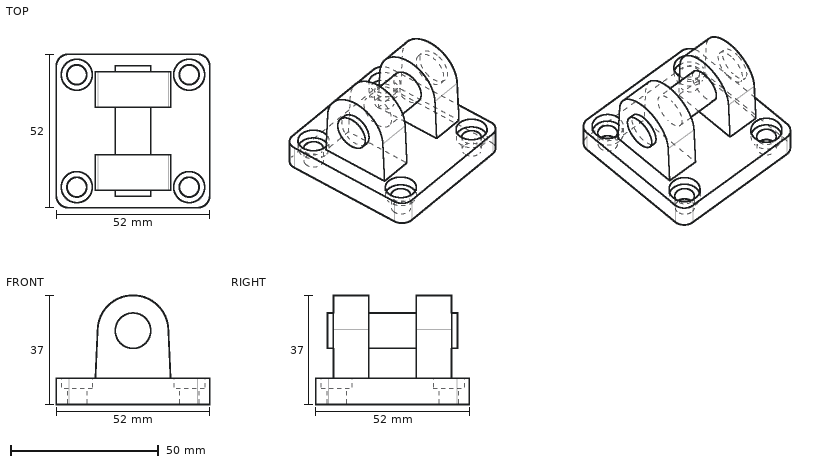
import cadquery as cq
import math

plate_side = 52.0
plate_thickness = 9.0
plate_corner_radius = 4.2

hole_spacing = 38.0
hole_diameter = 6.6
counterbore_diameter = 10.5
counterbore_depth = 3.5

ear_radius = 12.0
ear_thickness = 12.0
ear_gap = 16.0
ear_draft = math.radians(2.6)

pin_diameter = 12.0
pin_overhang = 2.0
pin_height = 25.0

pin_length = ear_gap + 2 * (ear_thickness + pin_overhang)


def make_plate():
    """Square plate with rounded corners, resting on Z = 0."""
    plate = cq.Workplane("XY").box(plate_side, plate_side, plate_thickness, centered=(True, True, False))
    plate = plate.edges("|Z").fillet(plate_corner_radius)
    return (
        plate.faces(">Z")
        .workplane()
        .rect(hole_spacing, hole_spacing, forConstruction=True)
        .vertices()
        .cboreHole(hole_diameter, counterbore_diameter, counterbore_depth)
    )


def make_ear(front_y):
    """Ear with a round top and tangent, drafted sides, running toward +Y from front_y."""
    tangent_x = ear_radius * math.cos(ear_draft)
    tangent_z = pin_height + ear_radius * math.sin(ear_draft)
    foot_x = tangent_x + (tangent_z - plate_thickness) * math.tan(ear_draft)
    return (
        cq.Workplane("XZ", origin=(0, front_y, 0))
        .moveTo(-foot_x, plate_thickness)
        .lineTo(foot_x, plate_thickness)
        .lineTo(tangent_x, tangent_z)
        .threePointArc((0, pin_height + ear_radius), (-tangent_x, tangent_z))
        .close()
        .extrude(-ear_thickness)
    )


def make_pin():
    """Pin along Y, through both ears and centred on the plate."""
    return (
        cq.Workplane("XZ", origin=(0, 0, pin_height))
        .circle(pin_diameter / 2)
        .extrude(pin_length / 2, both=True)
    )


result = make_plate()
for ear_front_y in (-ear_gap / 2 - ear_thickness, ear_gap / 2):
    result = result.union(make_ear(ear_front_y))
result = result.union(make_pin())